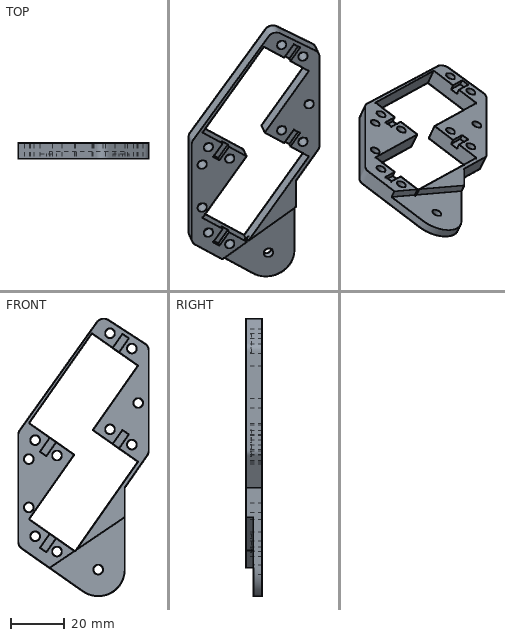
import cadquery as cq
import math

width = 49.0
height = 104.0
thickness = 6.0
corner_radius = 3.2
hole_diameter = 3.5
front_y = -thickness / 2

tab_right = 15.5
tab_radius = 10.0
tab_thickness = 3.2
tab_step_left = (-12.6, -41.3)
tab_step_angle = 34
tab_centre = (tab_right - tab_radius, tab_radius - height / 2)

corner_x = width / 2 - corner_radius
top_round = (7.6, height / 2 - corner_radius)
right_upper_round = (corner_x, 39.9)
right_lower_round = (corner_x, 2.6)
left_lower_round = (-corner_x, -31.5)
left_upper_round = (-corner_x, 8.3)
tab_inner_corner = (tab_right, -11.3)

servo_angle = 55
window_length = 41.0
window_width = 21.0
window_pitch = 36.0
upper_window_z = 23.6
window_heights = (upper_window_z, upper_window_z - window_pitch)

servo_hole_spacing_long = 48.9
servo_hole_spacing_short = 10.0
groove_width = 2.9
groove_span = 53.9
groove_depth = 2.0
groove_shift = -0.4

mount_hole_x = 20.5
mount_holes = [(mount_hole_x, 20.4), (-mount_hole_x, -0.6), (-mount_hole_x, -18.7)]


def point_on_round(centre, radius, angle):
    """Point on a circle; the angle is in radians."""
    return (centre[0] + radius * math.cos(angle), centre[1] + radius * math.sin(angle))


def tangent_direction(start, end):
    """Outward normal angle of the line touching two rounds, going clockwise."""
    (start_centre, start_radius), (end_centre, end_radius) = start, end
    dx = end_centre[0] - start_centre[0]
    dz = end_centre[1] - start_centre[1]
    tilt = math.acos((start_radius - end_radius) / math.hypot(dx, dz))
    return math.atan2(dz, dx) + tilt


def rounded_outline(rounds):
    """Closed XZ outline of tangent lines and arcs; a radius of 0 is a sharp corner."""
    count = len(rounds)
    normals = [tangent_direction(rounds[i], rounds[(i + 1) % count]) for i in range(count)]
    first_centre, first_radius = rounds[0]
    start = point_on_round(first_centre, first_radius, normals[0])
    outline = cq.Workplane("XZ", origin=(0, front_y, 0)).moveTo(*start)
    for i in range(1, count + 1):
        centre, radius = rounds[i % count]
        arrival = normals[i - 1]
        outline = outline.lineTo(*point_on_round(centre, radius, arrival))
        if radius > 0:
            turn = (arrival - normals[i % count]) % (2 * math.pi)
            arc_middle = point_on_round(centre, radius, arrival - turn / 2)
            arc_end = point_on_round(centre, radius, arrival - turn)
            outline = outline.threePointArc(arc_middle, arc_end)
    return outline.close()


def front_box(length, depth, width_across, angle, centre):
    """Box sunk into the front face, its length turned by angle in the XZ plane."""
    box = cq.Workplane("XY").box(length, depth, width_across)
    box = box.rotate((0, 0, 0), (0, 1, 0), -angle)
    return box.translate((centre[0], front_y + depth / 2, centre[1]))


def servo_point(window_z, along, across):
    """XZ position given along and across a servo window centred on X = 0."""
    lean = math.radians(servo_angle)
    x = along * math.cos(lean) - across * math.sin(lean)
    z = along * math.sin(lean) + across * math.cos(lean)
    return (x, window_z + z)


def servo_hole_centres(window_z):
    half_long = servo_hole_spacing_long / 2
    half_short = servo_hole_spacing_short / 2
    return [
        servo_point(window_z, along, across)
        for along in (-half_long, half_long)
        for across in (-half_short, half_short)
    ]


plate = rounded_outline([
    (top_round, corner_radius),
    (right_upper_round, corner_radius),
    (right_lower_round, corner_radius),
    (tab_inner_corner, 0),
    (tab_centre, tab_radius),
    (left_lower_round, corner_radius),
    (left_upper_round, corner_radius),
]).extrude(-thickness)

step_depth = thickness - tab_thickness
clearance_size = height
step_normal = math.radians(tab_step_angle - 90)
clearance_centre = point_on_round(tab_step_left, clearance_size / 2, step_normal)
plate = plate.cut(
    front_box(clearance_size, step_depth, clearance_size, tab_step_angle, clearance_centre)
)

for window_z in window_heights:
    window_centre = servo_point(window_z, 0, 0)
    groove_centre = servo_point(window_z, 0, groove_shift)
    plate = plate.cut(
        front_box(window_length, thickness, window_width, servo_angle, window_centre)
    )
    plate = plate.cut(
        front_box(groove_span, groove_depth, groove_width, servo_angle, groove_centre)
    )

hole_centres = mount_holes + [tab_centre]
for window_z in window_heights:
    hole_centres += servo_hole_centres(window_z)

holes = cq.Workplane("XZ", origin=(0, front_y, 0)).pushPoints(hole_centres)
holes = holes.circle(hole_diameter / 2).extrude(-thickness)
result = plate.cut(holes)